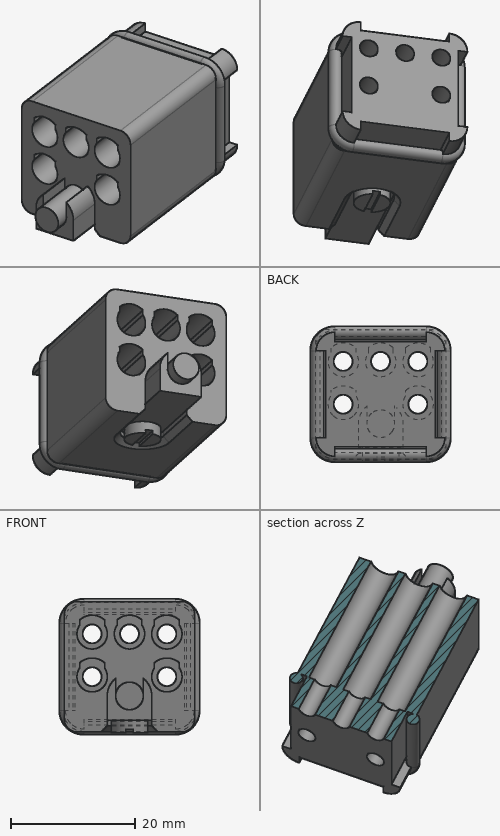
import cadquery as cq
import math

total_length = 40.1
front_y = -total_length / 2
back_y = total_length / 2

ring_width = 22.65
ring_height = 21.9
ring_section_radius = 1.1
ring_proud = 0.95
ring_centre_y = back_y - 5.5

plug_width = ring_width - 2 * ring_proud
plug_height = ring_height - 2 * ring_proud
plug_corner_radius = 3.0
plug_side_recess = 1.52

body_size = 20.97
body_corner_radius = 2.0
body_front_y = back_y - 31.5
body_back_y = back_y - 6.45
body_length = body_back_y - body_front_y
body_bottom_z = -body_size / 2

contact_pitch_x = 6.0
upper_row_z = 5.3
lower_row_z = -1.6
contact_positions = [
    (-contact_pitch_x, upper_row_z),
    (0, upper_row_z),
    (contact_pitch_x, upper_row_z),
    (-contact_pitch_x, lower_row_z),
    (contact_pitch_x, lower_row_z),
]
through_hole_diameter = 3.0
cavity_diameter = 4.9
key_width = 4.0
key_top_radius = 3.0

pin_diameter = 4.45
pin_z = -4.7
cradle_width = 7.18
cradle_length = 6.25
cradle_bottom_z = -8.62

screw_y = -1.45
screw_diameter = 5.9
screw_proud = 0.1
screw_slot_width = 1.2
screw_slot_depth = 0.55
notch_chamfer = 1.0


def block_along_y(width, height, start_y, end_y):
    """Box centred on the Y axis between two Y positions."""
    length = end_y - start_y
    return cq.Workplane("XY").box(width, length, height).translate((0, (start_y + end_y) / 2, 0))


def rod_along_y(x, z, diameter, start_y, end_y):
    """Cylinder parallel to Y between two Y positions."""
    start = cq.Vector(x, start_y, z)
    return cq.Workplane(cq.Solid.makeCylinder(diameter / 2, end_y - start_y, start, cq.Vector(0, 1, 0)))


def make_body():
    """Square block with rounded long edges."""
    body = block_along_y(body_size, body_size, body_front_y, body_back_y)
    return body.edges("|Y").fillet(body_corner_radius)


def make_plug():
    """Rounded block whose four sides are recessed between the corner arcs."""
    plug = block_along_y(plug_width, plug_height, body_back_y, back_y)
    plug = plug.edges("|Y").fillet(plug_corner_radius)
    straight_width = plug_width - 2 * plug_corner_radius
    straight_height = plug_height - 2 * plug_corner_radius
    core_width = plug_width - 2 * plug_side_recess
    core_height = plug_height - 2 * plug_side_recess
    core = block_along_y(core_width, core_height, body_back_y, back_y)
    side_bands = block_along_y(plug_width, straight_height, body_back_y, back_y)
    top_bands = block_along_y(straight_width, plug_height, body_back_y, back_y)
    return plug.cut(side_bands.union(top_bands).cut(core))


def make_ring():
    """Round section swept along a rounded rectangle parallel to the plug outline."""
    path_width = ring_width - 2 * ring_section_radius
    path_height = ring_height - 2 * ring_section_radius
    path_corner_radius = plug_corner_radius + ring_proud - ring_section_radius
    frame = block_along_y(path_width, path_height, ring_centre_y, back_y)
    path = frame.edges("|Y").fillet(path_corner_radius).faces("<Y").wires()
    section = cq.Workplane("YZ", origin=(0, ring_centre_y, path_height / 2)).circle(ring_section_radius)
    return section.sweep(path)


def make_cavities():
    """All contact cavities: round bore, key groove above it and through hole."""
    cavities = cq.Workplane("XY")
    key_height = math.sqrt(key_top_radius**2 - (key_width / 2) ** 2)
    for x, z in contact_positions:
        bore = rod_along_y(x, z, cavity_diameter, body_front_y, body_back_y)
        key = (
            cq.Workplane("XZ", origin=(x, body_front_y, z))
            .moveTo(-key_width / 2, 0)
            .lineTo(-key_width / 2, key_height)
            .threePointArc((0, key_top_radius), (key_width / 2, key_height))
            .lineTo(key_width / 2, 0)
            .close()
            .extrude(-body_length)
        )
        through_hole = rod_along_y(x, z, through_hole_diameter, body_front_y, back_y)
        cavities = cavities.add(bore).add(key).add(through_hole)
    return cavities.combine()


def make_cradle():
    """Round-topped block with an open-topped channel the width of the pin."""
    half_width = cradle_width / 2
    cradle_front_y = body_front_y - cradle_length
    outline = (
        cq.Workplane("XZ", origin=(0, body_front_y, 0))
        .moveTo(-half_width, cradle_bottom_z)
        .lineTo(-half_width, pin_z)
        .threePointArc((0, pin_z + half_width), (half_width, pin_z))
        .lineTo(half_width, cradle_bottom_z)
        .close()
        .extrude(cradle_length)
    )
    channel = (
        cq.Workplane("XY", origin=(0, cradle_front_y, pin_z))
        .box(pin_diameter, cradle_length, half_width, centered=(True, False, False))
    )
    return outline.cut(channel)


def make_notch():
    """Slot open to the front and bottom, rounded around the screw and flared at its mouth."""
    half_width = cradle_width / 2
    half_profile = (
        cq.Sketch()
        .polygon([
            (0, body_bottom_z),
            (half_width + notch_chamfer, body_bottom_z),
            (half_width, body_bottom_z + notch_chamfer),
            (half_width, cradle_bottom_z),
            (0, cradle_bottom_z),
            (0, body_bottom_z),
        ])
    )
    profile_plane = cq.Workplane("XZ", origin=(0, screw_y, 0)).placeSketch(half_profile)
    round_end = profile_plane.revolve(360, (0, 0, 0), (0, 1, 0))
    half_slot = profile_plane.extrude(screw_y - body_front_y)
    return round_end.union(half_slot).union(half_slot.mirror("YZ"))


def make_screw():
    """Screw head along Z with a driver slot in its lower face."""
    head_bottom_z = body_bottom_z - screw_proud
    head = (
        cq.Workplane("XY", origin=(0, screw_y, head_bottom_z))
        .circle(screw_diameter / 2)
        .extrude(cradle_bottom_z - head_bottom_z)
    )
    slot = (
        cq.Workplane("XY", origin=(0, screw_y, head_bottom_z))
        .rect(screw_slot_width, screw_diameter)
        .extrude(screw_slot_depth)
    )
    return head.cut(slot)


housing = make_body().union(make_plug()).cut(make_cavities()).cut(make_notch())
pin = rod_along_y(0, pin_z, pin_diameter, front_y, body_front_y)
result = housing.union(make_ring()).union(make_cradle()).union(pin).union(make_screw())